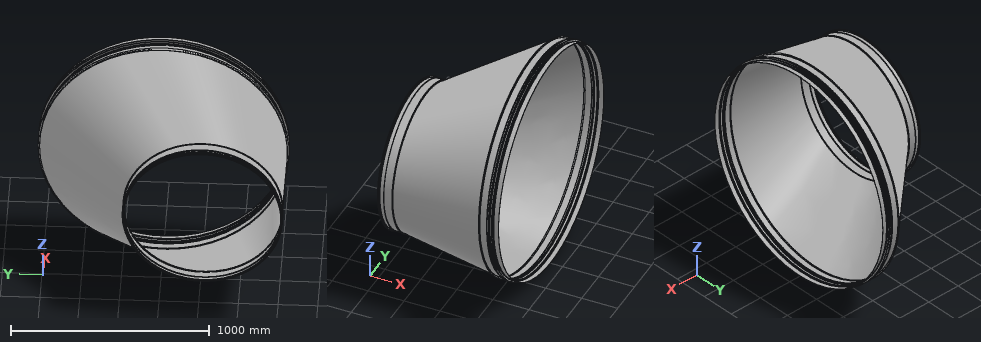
import cadquery as cq

sheet = 0.9

small_end_x = 0.0
end_ring_x = 8.0
small_seal_x = 13.0
small_step_x = 34.0
small_rim_x = 82.0
cone_start_x = 86.0
cone_end_x = 562.0
large_rim_x = 570.0
groove_start_x = 608.0
groove_end_x = 644.0
large_end_x = 673.0

small_collar_dia = 801.0
small_neck_dia = 794.0
end_ring_dia = 804.0
end_ring_bevel = 4.0
small_lip_dia = 809.0

large_collar_dia = 1249.0
groove_dia = 1239.0
large_lip_dia = 1266.0

gasket_base_dia = 1242.0
gasket_width = 28.0
gasket_lip_width = 4.0
gasket_lip_inset = 4.0

small_axis_y = (small_collar_dia - large_collar_dia) / 2
large_axis_y = 0.0


def revolve_profile(points, axis_y):
    """Ring made by turning a closed (x, radius) profile about the line y = axis_y parallel to X."""
    profile = cq.Workplane("XY", origin=(0, axis_y, 0)).polyline(points).close()
    return profile.revolve(360, (0, 0, 0), (1, 0, 0))


def plain_ring(start_x, end_x, inner_dia, outer_dia, axis_y):
    """Ring with a rectangular section."""
    inner = inner_dia / 2
    outer = outer_dia / 2
    points = [(start_x, inner), (end_x, inner), (end_x, outer), (start_x, outer)]
    return revolve_profile(points, axis_y)


def sheet_tube(outline, axis_y):
    """Thin tube whose outer surface follows an open (x, radius) outline."""
    inside = [(x, radius - sheet) for x, radius in reversed(outline)]
    return revolve_profile(outline + inside, axis_y)


def oblique_cone(small_dia, large_dia):
    """Solid cone frustum between the two offset collar circles."""
    return (
        cq.Workplane("YZ", origin=(cone_start_x, 0, 0))
        .center(small_axis_y, 0)
        .circle(small_dia / 2)
        .workplane(offset=cone_end_x - cone_start_x)
        .center(large_axis_y - small_axis_y, 0)
        .circle(large_dia / 2)
        .loft(ruled=True, combine=True)
    )


def flared_rim(cone_x, rim_x, collar_dia, rim_dia, axis_y):
    """Short ring flaring from the cone out to a sharp rim, with a plain bore."""
    collar = collar_dia / 2
    bore = collar - sheet
    points = [(cone_x, bore), (rim_x, bore), (rim_x, rim_dia / 2), (cone_x, collar)]
    return revolve_profile(points, axis_y)


def make_cone():
    """Hollow oblique cone with a flared rim at each end."""
    outside = oblique_cone(small_collar_dia, large_collar_dia)
    inside = oblique_cone(small_collar_dia - 2 * sheet, large_collar_dia - 2 * sheet)
    small_rim = flared_rim(cone_start_x, small_rim_x, small_collar_dia, small_lip_dia, small_axis_y)
    large_rim = flared_rim(cone_end_x, large_rim_x, large_collar_dia, large_lip_dia, large_axis_y)
    return outside.cut(inside).union(small_rim).union(large_rim)


def make_small_collar():
    """Sheet tube stepped down to a narrower neck at its free end."""
    collar = small_collar_dia / 2
    neck = small_neck_dia / 2
    outline = [
        (small_end_x, neck),
        (small_step_x, neck),
        (small_step_x + sheet, collar),
        (small_rim_x, collar),
    ]
    return sheet_tube(outline, small_axis_y)


def make_end_ring():
    """Ring around the free end of the neck, bevelled on its outer leading edge."""
    neck = small_neck_dia / 2
    outer = end_ring_dia / 2
    points = [
        (small_end_x, neck),
        (end_ring_x, neck),
        (end_ring_x, outer),
        (small_end_x + end_ring_bevel, outer),
        (small_end_x, outer - end_ring_bevel),
    ]
    return revolve_profile(points, small_axis_y)


def make_small_seal():
    """Lip seal lying against the end ring."""
    return plain_ring(end_ring_x, small_seal_x, small_neck_dia, small_lip_dia, small_axis_y)


def make_large_collar():
    """Sheet tube with a rolled groove for the gasket."""
    collar = large_collar_dia / 2
    groove = groove_dia / 2
    outline = [
        (large_rim_x, collar),
        (groove_start_x - sheet, collar),
        (groove_start_x, groove),
        (groove_end_x, groove),
        (groove_end_x + sheet, collar),
        (large_end_x, collar),
    ]
    return sheet_tube(outline, large_axis_y)


def make_gasket():
    """Gasket with a flat base and two narrow lips, lying against the far side of the groove."""
    start_x = groove_end_x - gasket_width
    first_lip_x = start_x + gasket_lip_inset
    second_lip_x = groove_end_x - gasket_lip_inset - gasket_lip_width
    gasket = plain_ring(start_x, groove_end_x, groove_dia, gasket_base_dia, large_axis_y)
    for lip_x in (first_lip_x, second_lip_x):
        lip_end_x = lip_x + gasket_lip_width
        lip = plain_ring(lip_x, lip_end_x, groove_dia, large_lip_dia, large_axis_y)
        gasket = gasket.union(lip)
    return gasket


cone = make_cone()
small_collar = make_small_collar()
end_ring = make_end_ring()
small_seal = make_small_seal()
large_collar = make_large_collar()
gasket = make_gasket()

result = cq.Compound.makeCompound([
    cone.val(),
    small_collar.val(),
    end_ring.val(),
    small_seal.val(),
    large_collar.val(),
    gasket.val(),
])